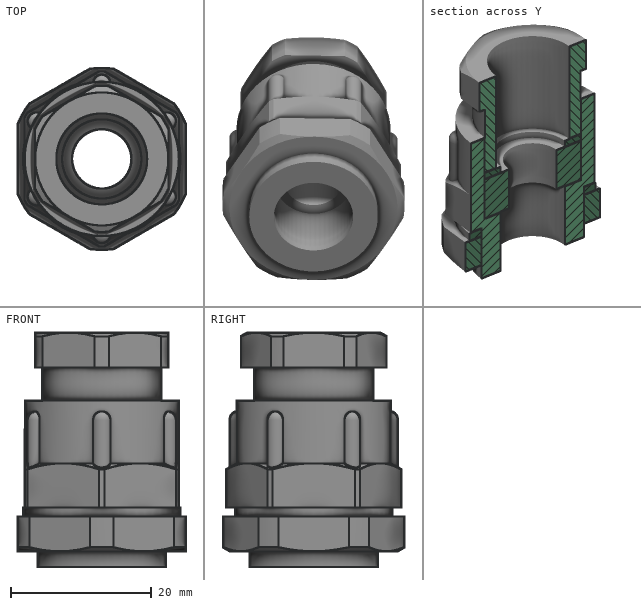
import cadquery as cq
import math


nut_bottom = 2.28
hex_head_height = 5.0
gasket_height = 1.25
body_hex_height = 6.33
body_top = 23.8
total_height = 33.5
nut_top = nut_bottom + hex_head_height
gasket_top = nut_top + gasket_height
body_hex_top = gasket_top + body_hex_height
screw_head_bottom = total_height - hex_head_height

nut_flats = 24.0
nut_corners = 26.0
body_flats = 22.0
body_corners = 25.0
screw_flats = 19.0
screw_corners = 20.85
chamfer_angle = 30.0

stem_radius = 9.18
gasket_radius = 11.25
neck_radius = 8.55
screw_bore_radius = 6.5
ring_bore_radius = 5.65
seal_bore_radius = 4.22
collar_radius = body_flats / 2

rib_count = 6
rib_radius = 1.25
rib_axis_radius = 10.8
rib_dome_base = 21.05
rib_root = body_hex_top - 2 * rib_radius

shoulder_height = 10.05
seal_height = 6.7
ring_height = 1.0
seal_top = shoulder_height + seal_height
ring_top = seal_top + ring_height


def cylinder(radius, bottom, top):
    return cq.Workplane("XY").workplane(offset=bottom).circle(radius).extrude(top - bottom)


def tube(outer_radius, inner_radius, bottom, top):
    return cylinder(outer_radius, bottom, top).cut(cylinder(inner_radius, bottom, top))


def turned_hexagon(flats, corners, bottom, top, chamfer_at_top):
    """Hexagon with corners on the Y axis, trimmed round and chamfered at one end."""
    sharp_corners = flats / math.cos(math.radians(30))
    prism = (
        cq.Workplane("XY")
        .workplane(offset=bottom)
        .polygon(6, sharp_corners)
        .extrude(top - bottom)
        .rotate((0, 0, 0), (0, 0, 1), 30)
    )
    face_radius = flats / 2
    corner_radius = corners / 2
    drop = (corner_radius - face_radius) * math.tan(math.radians(chamfer_angle))
    if chamfer_at_top:
        chamfered_end, plain_end, shoulder = top, bottom, top - drop
    else:
        chamfered_end, plain_end, shoulder = bottom, top, bottom + drop
    envelope = (
        cq.Workplane("XZ")
        .moveTo(0, chamfered_end)
        .lineTo(face_radius, chamfered_end)
        .lineTo(corner_radius, shoulder)
        .lineTo(corner_radius, plain_end)
        .lineTo(0, plain_end)
        .close()
        .revolve(360, (0, 0, 0), (0, 1, 0))
    )
    return prism.intersect(envelope)


def make_rib(angle):
    """Round rib with a domed top, its axis parallel to Z."""
    shaft = cylinder(rib_radius, rib_root, rib_dome_base)
    dome = cq.Workplane("XY").sphere(rib_radius).translate((0, 0, rib_dome_base))
    rib = shaft.union(dome).translate((rib_axis_radius, 0, 0))
    return rib.rotate((0, 0, 0), (0, 0, 1), angle)


def make_body():
    """Gland body: threaded stem, hexagon and ribbed collar, with a stepped bore."""
    body = cylinder(stem_radius, 0, gasket_top)
    body = body.union(turned_hexagon(body_flats, body_corners, gasket_top, body_hex_top, True))
    body = body.union(cylinder(collar_radius, body_hex_top, body_top))
    for index in range(rib_count):
        body = body.union(make_rib(90 + index * 360 / rib_count))
    body = body.cut(cylinder(ring_bore_radius, 0, shoulder_height))
    return body.cut(cylinder(neck_radius, shoulder_height, body_top))


def make_lock_nut():
    nut = turned_hexagon(nut_flats, nut_corners, nut_bottom, nut_top, False)
    return nut.cut(cylinder(stem_radius, nut_bottom, nut_top))


def make_gasket():
    """Flat gasket between the lock nut and the body hexagon."""
    return tube(gasket_radius, stem_radius, nut_top, gasket_top)


def make_pressure_screw():
    head = turned_hexagon(screw_flats, screw_corners, screw_head_bottom, total_height, True)
    screw = head.union(cylinder(neck_radius, ring_top, screw_head_bottom))
    return screw.cut(cylinder(screw_bore_radius, ring_top, total_height))


def make_seal():
    """Cable seal resting on the shoulder of the body bore."""
    return tube(neck_radius, seal_bore_radius, shoulder_height, seal_top)


def make_thrust_ring():
    """Flat ring between the seal and the end of the pressure screw."""
    return tube(neck_radius, ring_bore_radius, seal_top, ring_top)


body = make_body()
lock_nut = make_lock_nut()
gasket = make_gasket()
pressure_screw = make_pressure_screw()
seal = make_seal()
thrust_ring = make_thrust_ring()

result = cq.Compound.makeCompound([
    body.val(),
    lock_nut.val(),
    gasket.val(),
    pressure_screw.val(),
    seal.val(),
    thrust_ring.val(),
])